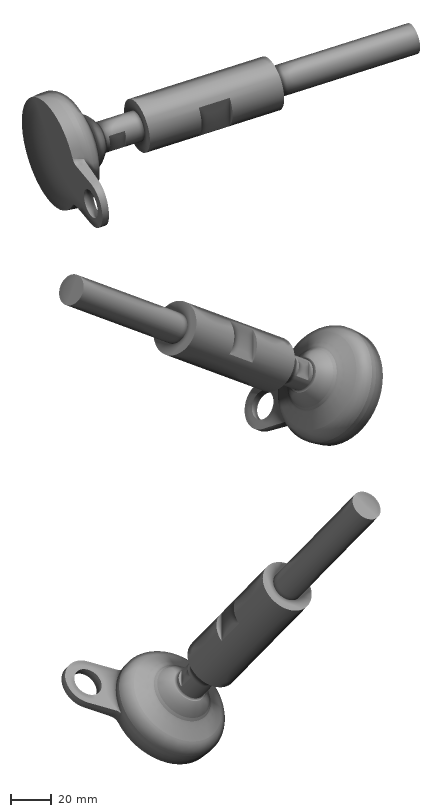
import cadquery as cq
import math

TOTAL_LENGTH = 203.0

foot_radius = 30.0
foot_base_radius = 29.5
foot_draft_height = 5.9
foot_rim_top = 9.0
shoulder_radius = 25.2
shoulder_height = 15.2
waist_radius = 16.2
waist_height = 19.7
dome_base_radius = 15.0
dome_base_height = 21.0
foot_top_radius = 9.0
foot_top = 27.2
shoulder_bulge = 0.91
waist_hollow = 0.2
dome_bulge = 0.6

lug_half_width = 12.5
lug_reach = 57.9
lug_hole_diameter = 15.0
lug_fillet = 5.0
lug_root_thickness = 5.7
lug_tip_thickness = 3.7
lug_center_x = lug_reach - lug_half_width

spindle_diameter = 16.0
spindle_socket_depth = 6.0
spindle_flat_start = 30.0
spindle_flat_length = 9.0
spindle_across_flats = 12.8
spindle_neck_start = 28.2
spindle_neck_chamfer = 1.0
spindle_stem_diameter = spindle_diameter - 2 * spindle_neck_chamfer
spindle_seat = foot_top - spindle_socket_depth

sleeve_diameter = 28.0
sleeve_start = 49.1
sleeve_length = 75.0
sleeve_flat_length = 17.3
sleeve_across_flats = 22.0


def cylinder_along_y(diameter, start, length):
    """Round bar on the common axis, from Y = start towards +Y."""
    return cq.Workplane("XZ", origin=(0, start, 0)).circle(diameter / 2).extrude(-length)


def cut_wrench_flats(body, diameter, across_flats, start, length):
    """Cut two opposite flats facing -X and +X."""
    depth = (diameter - across_flats) / 2
    for side in (-1, 1):
        center = (side * (across_flats + depth) / 2, start + length / 2, 0)
        body = body.cut(cq.Workplane("XY").box(depth, length, diameter).translate(center))
    return body


def bulged_point(start, end, bulge):
    """Middle of an arc, offset by bulge to the right of the direction of travel."""
    dx = end[0] - start[0]
    dy = end[1] - start[1]
    chord = math.hypot(dx, dy)
    middle_x = (start[0] + end[0]) / 2
    middle_y = (start[1] + end[1]) / 2
    return (middle_x + bulge * dy / chord, middle_y - bulge * dx / chord)


def make_foot_disc():
    """Bell-shaped foot turned about Y."""
    rim = (foot_radius, foot_rim_top)
    shoulder = (shoulder_radius, shoulder_height)
    waist = (waist_radius, waist_height)
    dome_base = (dome_base_radius, dome_base_height)
    top = (foot_top_radius, foot_top)
    profile = (
        cq.Workplane("XY")
        .moveTo(0, 0)
        .lineTo(foot_base_radius, 0)
        .lineTo(foot_radius, foot_draft_height)
        .lineTo(*rim)
        .threePointArc(bulged_point(rim, shoulder, shoulder_bulge), shoulder)
        .threePointArc(bulged_point(shoulder, waist, -waist_hollow), waist)
        .lineTo(*dome_base)
        .threePointArc(bulged_point(dome_base, top, dome_bulge), top)
        .lineTo(0, foot_top)
        .close()
    )
    return profile.revolve(360, (0, 0, 0), (0, 1, 0))


def make_lug():
    """Lug with a round end, filleted into the disc and thinning towards its tip."""
    fillet_z = lug_half_width + lug_fillet
    fillet_distance = foot_base_radius + lug_fillet
    fillet_x = math.sqrt(fillet_distance**2 - fillet_z**2)
    touch_x = fillet_x * foot_base_radius / fillet_distance
    touch_z = fillet_z * foot_base_radius / fillet_distance
    touch_angle = math.atan2(fillet_z, fillet_x)
    middle_angle = (touch_angle + math.pi + 1.5 * math.pi) / 2
    middle_x = fillet_x + lug_fillet * math.cos(middle_angle)
    middle_z = fillet_z + lug_fillet * math.sin(middle_angle)
    plan = (
        cq.Workplane("XZ")
        .moveTo(0, -touch_z)
        .lineTo(touch_x, -touch_z)
        .threePointArc((middle_x, -middle_z), (fillet_x, -lug_half_width))
        .lineTo(lug_center_x, -lug_half_width)
        .threePointArc((lug_reach, 0), (lug_center_x, lug_half_width))
        .lineTo(fillet_x, lug_half_width)
        .threePointArc((middle_x, middle_z), (touch_x, touch_z))
        .lineTo(0, touch_z)
        .close()
        .extrude(-lug_root_thickness)
    )
    wedge = (
        cq.Workplane("XY")
        .polyline([
            (0, 0),
            (lug_reach, 0),
            (lug_reach, lug_tip_thickness),
            (foot_base_radius, lug_root_thickness),
            (0, lug_root_thickness),
        ])
        .close()
        .extrude(foot_radius, both=True)
    )
    hole = cylinder_along_y(lug_hole_diameter, 0, lug_root_thickness).translate((lug_center_x, 0, 0))
    return plan.intersect(wedge).cut(hole)


def make_foot():
    """Disc and lug in one piece, with a blind socket for the spindle stem."""
    socket = cylinder_along_y(spindle_stem_diameter, spindle_seat, spindle_socket_depth)
    return make_foot_disc().union(make_lug()).cut(socket)


def make_spindle():
    """Rod chamfered down to a stem in the foot socket, with wrench flats near the foot."""
    rod = cylinder_along_y(spindle_diameter, spindle_neck_start, TOTAL_LENGTH - spindle_neck_start)
    shoulder_y = spindle_neck_start - spindle_neck_chamfer
    stem_length = shoulder_y - spindle_seat
    stem = cylinder_along_y(spindle_stem_diameter, spindle_seat, stem_length)
    cone = (
        cq.Workplane("XZ", origin=(0, shoulder_y, 0))
        .circle(spindle_stem_diameter / 2)
        .workplane(offset=-spindle_neck_chamfer)
        .circle(spindle_diameter / 2)
        .loft()
    )
    rod = rod.union(cone).union(stem)
    return cut_wrench_flats(
        rod, spindle_diameter, spindle_across_flats, spindle_flat_start, spindle_flat_length
    )


def make_sleeve():
    """Long coupling sleeve around the spindle, with wrench flats at mid-length."""
    bar = cylinder_along_y(sleeve_diameter, sleeve_start, sleeve_length)
    bore = cylinder_along_y(spindle_diameter, sleeve_start, sleeve_length)
    flat_start = sleeve_start + (sleeve_length - sleeve_flat_length) / 2
    return cut_wrench_flats(
        bar.cut(bore), sleeve_diameter, sleeve_across_flats, flat_start, sleeve_flat_length
    )


foot = make_foot()
spindle = make_spindle()
sleeve = make_sleeve()

result = cq.Compound.makeCompound([foot.val(), spindle.val(), sleeve.val()])